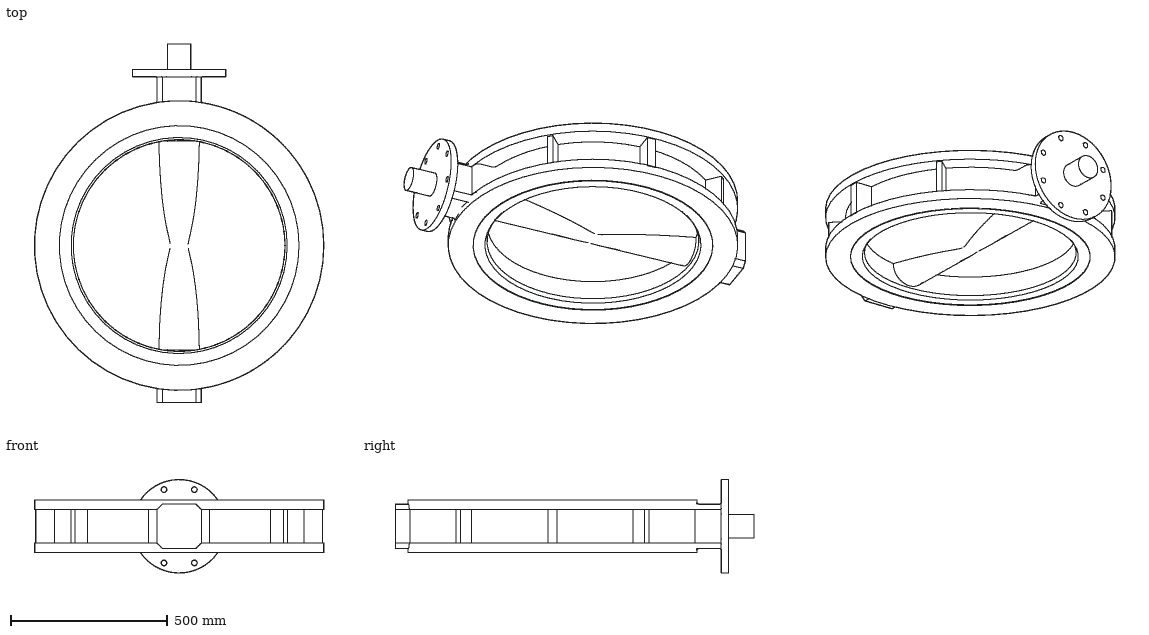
import cadquery as cq
import math

search_margin = 1.0

housing_diameter = 926.0
housing_radius = housing_diameter / 2
housing_height = 169.0
housing_half_height = housing_height / 2
ring_gap = 107.0
ring_inner_z = ring_gap / 2
barrel_radius = 400.0

liner_radius = 383.0
liner_recess = 2.0
liner_half_height = housing_half_height - liner_recess
liner_chamfer_depth = 13.0
liner_chamfer_width = 7.0
bore_radius = 339.0

side_rib_width = 29.0
side_rib_reach = 459.0
diagonal_rib_width = 18.0
diagonal_rib_reach = 455.0
diagonal_rib_angle = 41.6

boss_width = 142.0
boss_corner_chamfer = boss_width / 2 - ring_inner_z
lower_boss_end = 503.0
boss_fillet = 5.0
neck_width = 195.0
neck_end = 456.0
neck_corner_radius = 20.0
neck_root_radius = 15.0

flange_diameter = 300.0
flange_top = 564.0
flange_thickness = 24.0
flange_edge_fillet = 2.0
flange_bottom = flange_top - flange_thickness
bolt_count = 8
bolt_circle_diameter = 254.0
bolt_hole_diameter = 17.0

shaft_diameter = 76.0
shaft_end = 645.0
lower_shaft_end = 459.0
shaft_inner_end = 172.0

disc_rim_half_thickness = 5.0
disc_apex_height = 63.0
hub_diameter = 130.0
hub_half_length = 334.0


def cylinder_along_y(diameter, y_start, y_end):
    """Solid cylinder on the Y axis from y_start to y_end."""
    return (
        cq.Workplane("XZ", origin=(0, y_start, 0))
        .circle(diameter / 2)
        .extrude(y_start - y_end)
    )


def valve_cylinder(radius, z_start, z_end):
    """Solid cylinder on the valve axis."""
    return cq.Workplane("XY").workplane(offset=z_start).circle(radius).extrude(z_end - z_start)


def make_upper_shaft():
    return cylinder_along_y(shaft_diameter, shaft_inner_end, shaft_end)


def make_lower_shaft():
    return cylinder_along_y(shaft_diameter, -lower_shaft_end, -shaft_inner_end)


def remove_shaft_holes(body):
    return body.cut(make_upper_shaft()).cut(make_lower_shaft())


def make_rib(angle, width, reach):
    """Straight radial rib that joins the two ring flanges."""
    root = (bore_radius + barrel_radius) / 2
    return (
        cq.Workplane("XY")
        .box(reach - root, width, ring_gap)
        .translate(((reach + root) / 2, 0, 0))
        .rotate((0, 0, 0), (0, 0, 1), angle)
    )


def make_barrel_with_necks():
    """Barrel and the two rounded necks that carry the bosses."""
    necks = (
        cq.Workplane("XY")
        .box(neck_width, 2 * neck_end, ring_gap)
        .edges("|Z")
        .fillet(neck_corner_radius)
    )
    barrel = valve_cylinder(barrel_radius, -ring_inner_z, ring_inner_z).union(necks)
    root_y = math.sqrt(barrel_radius**2 - (neck_width / 2) ** 2)
    roots = barrel.edges("|Z").edges(
        cq.selectors.BoxSelector(
            (-neck_width, -root_y - search_margin, -housing_half_height),
            (neck_width, root_y + search_margin, housing_half_height),
        )
    )
    return roots.fillet(neck_root_radius)


def make_boss(y_start, y_end):
    return (
        cq.Workplane("XY")
        .box(boss_width, y_end - y_start, boss_width)
        .edges("|Y")
        .chamfer(boss_corner_chamfer)
        .translate((0, (y_start + y_end) / 2, 0))
    )


def make_actuator_flange():
    plate = cylinder_along_y(flange_diameter, flange_bottom, flange_top)
    plate = plate.faces("<Y").edges().fillet(flange_edge_fillet)
    holes = (
        cq.Workplane("XZ", origin=(0, flange_bottom, 0))
        .polarArray(bolt_circle_diameter / 2, 180 / bolt_count, 360, bolt_count)
        .circle(bolt_hole_diameter / 2)
        .extrude(-flange_thickness)
    )
    return plate.cut(holes)


def make_upper_boss_and_flange():
    """Upper boss joined to the actuator flange by a small fillet."""
    joined = make_boss(bore_radius, flange_bottom).union(make_actuator_flange())
    half = boss_width / 2 + search_margin
    joint = joined.edges("%LINE").edges(
        cq.selectors.BoxSelector(
            (-half, flange_bottom - search_margin, -half), (half, flange_bottom + search_margin, half)
        )
    )
    return joint.fillet(boss_fillet)


def fillet_upper_boss_root(housing):
    """Round the curved edges where the upper boss leaves the ring flanges."""
    half = boss_width / 2 + search_margin
    ring_y = math.sqrt(housing_radius**2 - half**2)
    root_zone = cq.selectors.BoxSelector(
        (-half, ring_y, -half), (half, housing_radius + search_margin, half)
    )
    return housing.edges(root_zone).edges("not %LINE").fillet(boss_fillet)


def make_housing():
    """Ring flanges, barrel, ribs, bosses and actuator flange as one casting."""
    housing = make_barrel_with_necks()
    housing = housing.union(valve_cylinder(housing_radius, ring_inner_z, housing_half_height))
    housing = housing.union(valve_cylinder(housing_radius, -housing_half_height, -ring_inner_z))
    for side in (0, 180):
        housing = housing.union(make_rib(side, side_rib_width, side_rib_reach))
        for tilt in (-diagonal_rib_angle, diagonal_rib_angle):
            housing = housing.union(make_rib(side + tilt, diagonal_rib_width, diagonal_rib_reach))
    housing = housing.union(make_upper_boss_and_flange())
    housing = fillet_upper_boss_root(housing)
    housing = housing.union(make_boss(-lower_boss_end, -bore_radius))
    housing = housing.cut(valve_cylinder(liner_radius, -housing_half_height, housing_half_height))
    return remove_shaft_holes(housing)


def make_liner():
    """Seat ring whose bore opens with a steep chamfer at both ends."""
    mouth_radius = bore_radius + liner_chamfer_width
    chamfer_start = liner_half_height - liner_chamfer_depth
    liner = (
        cq.Workplane("XZ")
        .moveTo(liner_radius, -liner_half_height)
        .lineTo(liner_radius, liner_half_height)
        .lineTo(mouth_radius, liner_half_height)
        .lineTo(bore_radius, chamfer_start)
        .lineTo(bore_radius, -chamfer_start)
        .lineTo(mouth_radius, -liner_half_height)
        .close()
        .revolve(360, (0, 0, 0), (0, 1, 0))
    )
    return remove_shaft_holes(liner)


def make_disc():
    """Double cone with a cylindrical hub across it."""
    double_cone = (
        cq.Workplane("XZ")
        .moveTo(0, -disc_apex_height)
        .lineTo(bore_radius, -disc_rim_half_thickness)
        .lineTo(bore_radius, disc_rim_half_thickness)
        .lineTo(0, disc_apex_height)
        .close()
        .revolve(360, (0, 0, 0), (0, 1, 0))
    )
    hub = cylinder_along_y(hub_diameter, -hub_half_length, hub_half_length)
    hub = hub.intersect(valve_cylinder(bore_radius, -housing_half_height, housing_half_height))
    return remove_shaft_holes(double_cone.union(hub))


housing = make_housing()
liner = make_liner()
disc = make_disc()
upper_shaft = make_upper_shaft()
lower_shaft = make_lower_shaft()

result = cq.Compound.makeCompound(
    [housing.val(), liner.val(), disc.val(), upper_shaft.val(), lower_shaft.val()]
)